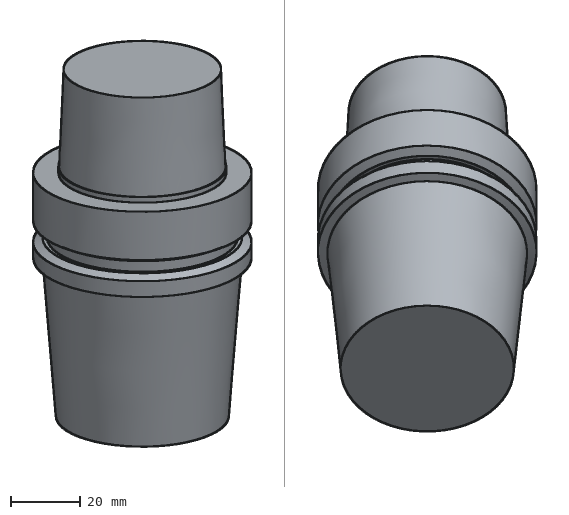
import cadquery as cq

total_height = 107.0
flange_diameter = 63.0

body_bottom_diameter = 50.0
body_top_diameter = 57.6

flange_bottom = 48.2
flange_top = 75.1
bottom_chamfer_height = 0.6
bottom_chamfer_diameter = 58.2

groove_diameter = 55.0
groove_lip_diameter = 57.6
groove_center = 56.9
groove_floor_width = 3.7
groove_mouth_width = 6.5

collar_diameter = 48.5
collar_height = 1.7
taper_bottom_diameter = 48.0
taper_top_diameter = 45.5

body = [
    (body_bottom_diameter, 0),
    (body_top_diameter, flange_bottom),
]
lower_flange = [
    (bottom_chamfer_diameter, flange_bottom),
    (flange_diameter, flange_bottom + bottom_chamfer_height),
]
groove = [
    (flange_diameter, groove_center - groove_mouth_width / 2),
    (groove_lip_diameter, groove_center - groove_floor_width / 2),
    (groove_diameter, groove_center - groove_floor_width / 2),
    (groove_diameter, groove_center + groove_floor_width / 2),
    (groove_lip_diameter, groove_center + groove_floor_width / 2),
    (flange_diameter, groove_center + groove_mouth_width / 2),
]
upper_flange = [(flange_diameter, flange_top)]
spigot = [
    (collar_diameter, flange_top),
    (collar_diameter, flange_top + collar_height),
    (taper_bottom_diameter, flange_top + collar_height),
    (taper_top_diameter, total_height),
]

profile = body + lower_flange + groove + upper_flange + spigot
outline = [(diameter / 2, height) for diameter, height in profile]

result = (
    cq.Workplane("XZ")
    .polyline([(0, 0)] + outline + [(0, total_height)])
    .close()
    .revolve(360, (0, 0, 0), (0, 1, 0))
)